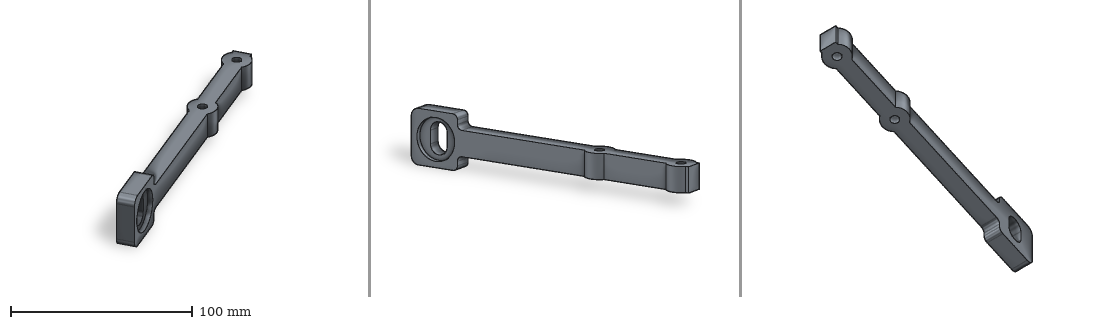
import cadquery as cq

total_length = 183.8
arm_width = 10.7
arm_height = 15.0

head_length = 30.6
head_height = 32.29
head_end_radius = 4.8
head_shoulder_radius = 3.0
neck_radius = 3.0
slot_width = 11.0
slot_length = 18.8
slot_from_end = 16.3
recess_diameter = 25.0
recess_depth = 3.0

boss_diameter = 17.0
hole_diameter = 5.4
boss_spacing = 54.0
last_boss_y = total_length - boss_diameter / 2
boss_positions = [(0, last_boss_y), (0, last_boss_y - boss_spacing)]

selection_margin = 0.1


def side_plate(y_start, length, height):
    """Plate of arm thickness, centred on X and Z."""
    return cq.Workplane("XY").box(arm_width, length, height).translate((0, y_start + length / 2, 0))


def edges_at(y, height):
    """Selector for the pair of X-parallel edges at a given Y, above and below centre."""
    lower = cq.selectors.BoxSelector(
        (-arm_width, y - selection_margin, -height / 2 - selection_margin),
        (arm_width, y + selection_margin, -height / 2 + selection_margin),
    )
    upper = cq.selectors.BoxSelector(
        (-arm_width, y - selection_margin, height / 2 - selection_margin),
        (arm_width, y + selection_margin, height / 2 + selection_margin),
    )
    return lower + upper


def make_arm_and_head():
    """Flat arm and head, with rounded corners and a rounded neck."""
    body = side_plate(0, total_length, arm_height).union(side_plate(0, head_length, head_height))
    body = body.edges(edges_at(0, head_height)).fillet(head_end_radius)
    body = body.edges(edges_at(head_length, head_height)).fillet(head_shoulder_radius)
    return body.edges(edges_at(head_length, arm_height)).fillet(neck_radius)


def make_slot():
    """Upright slot cutting through the head along X."""
    return (
        cq.Workplane("YZ")
        .center(slot_from_end, 0)
        .slot2D(slot_length, slot_width, 90)
        .extrude(arm_width, both=True)
    )


def make_recess():
    """Round recess around the slot, sunk into the +X face of the head."""
    return (
        cq.Workplane("YZ")
        .workplane(offset=arm_width / 2 - recess_depth)
        .center(slot_from_end, 0)
        .circle(recess_diameter / 2)
        .extrude(recess_depth)
    )


def make_vertical_cylinders(diameter):
    """One full-height cylinder at each boss position."""
    return (
        cq.Workplane("XY")
        .workplane(offset=-arm_height / 2)
        .pushPoints(boss_positions)
        .circle(diameter / 2)
        .extrude(arm_height)
    )


result = (
    make_arm_and_head()
    .union(make_vertical_cylinders(boss_diameter))
    .cut(make_vertical_cylinders(hole_diameter))
    .cut(make_slot())
    .cut(make_recess())
)